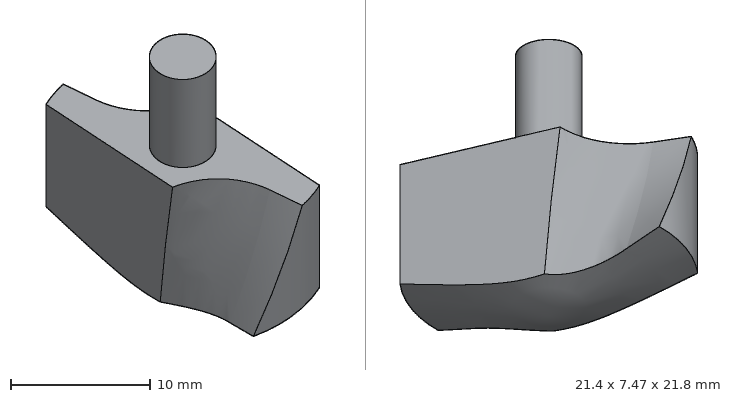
import cadquery as cq
import math

body_diameter = 21.4
blade_thickness = 7.47
body_height = 10.0
point_height = 3.2
shank_diameter = 4.8
shank_length = 8.6

helix_angle = 25.0
face_angle = 8.5
face_start_x = 7.84
face_start_y = 0.915
flute_radius = 6.44
flute_count = 2
cutter_margin = 4.0
arc_sweep = 95.0

body_radius = body_diameter / 2
helix_lead = math.pi * body_diameter / math.tan(math.radians(helix_angle))


def make_pointed_blank():
    """Cylinder with a conical point, flattened to the blade thickness."""
    blank = (
        cq.Workplane("XZ")
        .moveTo(0, -point_height)
        .lineTo(body_radius, 0)
        .lineTo(body_radius, body_height)
        .lineTo(0, body_height)
        .close()
        .revolve(360, (0, 0, 0), (0, 1, 0))
    )
    slab = cq.Workplane("XY").box(
        body_diameter, blade_thickness, 2 * (body_height + point_height)
    )
    return blank.intersect(slab)


def make_flute_cutter():
    """Helical cutter: a flat face tangent to an arc, twisted downward from the top."""
    slope = math.radians(face_angle)
    center_x = face_start_x + flute_radius * math.sin(slope)
    center_y = face_start_y - flute_radius * math.cos(slope)

    def arc_point(swept):
        angle = math.radians(90 + face_angle + swept)
        return (
            center_x + flute_radius * math.cos(angle),
            center_y + flute_radius * math.sin(angle),
        )

    outer_x = body_radius + cutter_margin
    outer_y = face_start_y + (outer_x - face_start_x) * math.tan(slope)
    arc_end = arc_point(arc_sweep)
    floor_y = -outer_x
    depth = body_height + point_height
    twist = 360 * depth / helix_lead

    return (
        cq.Workplane("XY")
        .workplane(offset=body_height)
        .moveTo(outer_x, outer_y)
        .lineTo(face_start_x, face_start_y)
        .threePointArc(arc_point(arc_sweep / 2), arc_end)
        .lineTo(arc_end[0], floor_y)
        .lineTo(outer_x, floor_y)
        .close()
        .twistExtrude(-depth, twist)
    )


def make_shank():
    """Round shank standing on the top of the blade."""
    return (
        cq.Workplane("XY")
        .workplane(offset=body_height)
        .circle(shank_diameter / 2)
        .extrude(shank_length)
    )


flute = make_flute_cutter()
blade = make_pointed_blank()
for index in range(flute_count):
    blade = blade.cut(flute.rotate((0, 0, 0), (0, 0, 1), index * 360 / flute_count))

result = blade.union(make_shank())